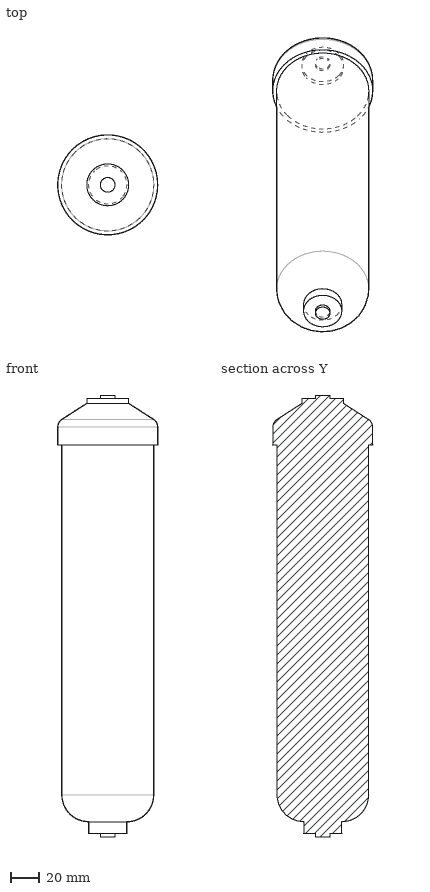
import cadquery as cq
import math

total_length = 311.39
stub_radius = 10.35 / 2
bottom_boss_radius = 26.92 / 2
top_boss_radius = 29.52 / 2
body_radius = 65.02 / 2
cap_radius = 70.61 / 2

bottom_stub_length = 2.6
bottom_boss_length = 8.2
top_stub_length = 2.0
top_boss_length = 3.5
cap_band_length = 13.0

dome_radius = body_radius - bottom_boss_radius

shoulder_blend_radius = 6.1
blend_angle = math.acos(1 - (cap_radius - body_radius) / shoulder_blend_radius)
blend_height = shoulder_blend_radius * math.sin(blend_angle)
cone_slope = math.pi / 2 - blend_angle
cone_height = (body_radius - top_boss_radius) * math.tan(cone_slope)

bottom_boss_z = bottom_stub_length
dome_bottom_z = bottom_boss_z + bottom_boss_length
dome_top_z = dome_bottom_z + dome_radius

top_boss_top_z = total_length - top_stub_length
cone_top_z = top_boss_top_z - top_boss_length
cone_bottom_z = cone_top_z - cone_height
cap_band_top_z = cone_bottom_z - blend_height
cap_band_bottom_z = cap_band_top_z - cap_band_length


def arc_point(center_r, center_z, radius, angle):
    """Point (r, z) on a profile arc, with the angle measured from the outward direction."""
    return (center_r + radius * math.cos(angle), center_z + radius * math.sin(angle))


def make_cartridge():
    """Revolve the half profile of the capped cartridge about the Z axis."""
    dome_middle = arc_point(bottom_boss_radius, dome_top_z, dome_radius, -math.pi / 4)
    blend_middle = arc_point(
        cap_radius - shoulder_blend_radius, cap_band_top_z, shoulder_blend_radius, blend_angle / 2
    )
    profile = (
        cq.Workplane("XZ")
        .moveTo(0, 0)
        .lineTo(stub_radius, 0)
        .lineTo(stub_radius, bottom_boss_z)
        .lineTo(bottom_boss_radius, bottom_boss_z)
        .lineTo(bottom_boss_radius, dome_bottom_z)
        .threePointArc(dome_middle, (body_radius, dome_top_z))
        .lineTo(body_radius, cap_band_bottom_z)
        .lineTo(cap_radius, cap_band_bottom_z)
        .lineTo(cap_radius, cap_band_top_z)
        .threePointArc(blend_middle, (body_radius, cone_bottom_z))
        .lineTo(top_boss_radius, cone_top_z)
        .lineTo(top_boss_radius, top_boss_top_z)
        .lineTo(stub_radius, top_boss_top_z)
        .lineTo(stub_radius, total_length)
        .lineTo(0, total_length)
        .close()
    )
    return profile.revolve(360, (0, 0, 0), (0, 1, 0))


result = make_cartridge()